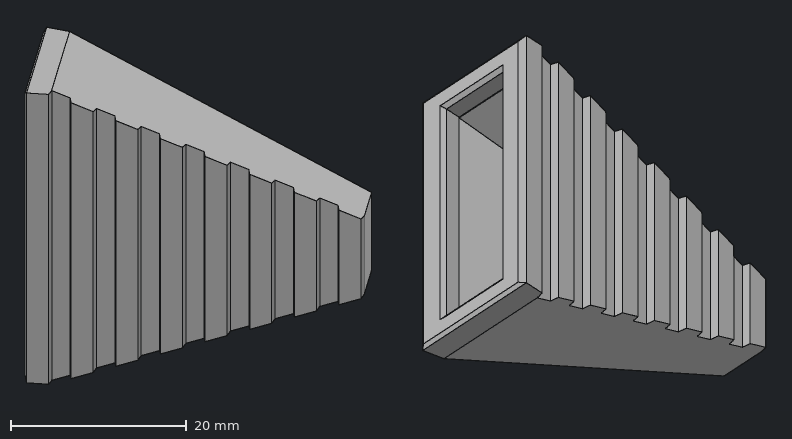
import cadquery as cq

TILT = 22.5

LENGTH = 38.68
HEIGHT = 37.0
END_HEIGHT = 10.0
MOUTH_DEPTH = 16.77
END_DEPTH = 7.0
TAPER_START = 2.75
RIM_BEVEL = 0.5
RIM_BEVEL_LENGTH = 0.35

TOOTH_GAPS = 7
TOOTH_PITCH = 5.13
CREST_LENGTH = 2.52
TOOTH_DEPTH = 1.0
FLANK_RUN = 0.25

WALL = 2.52
CHAMBER_FLOOR = 3.45
LIP = 0.5
MOUTH_BEVEL_LENGTH = 0.5
LIP_END = 2.2

FRONT = -RIM_BEVEL_LENGTH
CHAMBER_START = LIP_END + LIP
CHAMBER_END = LENGTH - WALL
BACK_SLOPE = (MOUTH_DEPTH - END_DEPTH) / LENGTH
SIDE_SLOPE = (HEIGHT - END_HEIGHT) / 2 / (LENGTH - TAPER_START)


def back_wall(x):
    """Outer y of the sloping plain side."""
    return MOUTH_DEPTH - BACK_SLOPE * x


def half_height(x):
    """Outer half height, constant up to the start of the taper."""
    return HEIGHT / 2 - SIDE_SLOPE * max(0, x - TAPER_START)


def toothed_profile():
    """Outline in XY: teeth at the bottom, sloping plain side at the top."""
    points = [(FRONT, TOOTH_DEPTH), (0, 0)]
    for gap in range(TOOTH_GAPS):
        crest_end = gap * TOOTH_PITCH + CREST_LENGTH
        next_crest = (gap + 1) * TOOTH_PITCH
        points += [
            (crest_end, 0),
            (crest_end + FLANK_RUN, TOOTH_DEPTH),
            (next_crest - FLANK_RUN, TOOTH_DEPTH),
            (next_crest, 0),
        ]
    points += [
        (LENGTH - FLANK_RUN, 0),
        (LENGTH, TOOTH_DEPTH),
        (LENGTH, END_DEPTH),
        (0, MOUTH_DEPTH),
        (FRONT, MOUTH_DEPTH - RIM_BEVEL),
    ]
    return cq.Workplane("XY").polyline(points).close().extrude(HEIGHT / 2, both=True)


def side_taper():
    """Outline in XZ: bevelled rim, straight collar and symmetric taper."""
    upper = [
        (FRONT, HEIGHT / 2 - RIM_BEVEL),
        (0, HEIGHT / 2),
        (TAPER_START, HEIGHT / 2),
        (LENGTH, END_HEIGHT / 2),
    ]
    lower = [(x, -z) for x, z in reversed(upper)]
    return cq.Workplane("XZ").polyline(upper + lower).close().extrude(MOUTH_DEPTH, both=True)


def section(x, inset):
    """Rectangular wire of the hollow at x, drawn in from the chamber size by inset."""
    wall_x = max(x, CHAMBER_START)
    floor = CHAMBER_FLOOR + inset
    roof = back_wall(wall_x) - WALL - inset
    half = half_height(wall_x) - WALL - inset
    corners = [(floor, -half), (roof, -half), (roof, half), (floor, half)]
    return cq.Wire.makePolygon([cq.Vector(x, y, z) for y, z in corners], close=True)


def hollow():
    """Bevelled mouth, straight lip, flare behind it and tapering chamber."""
    stations = [
        (FRONT, 0),
        (FRONT + MOUTH_BEVEL_LENGTH, LIP),
        (LIP_END, LIP),
        (CHAMBER_START, 0),
        (CHAMBER_END, 0),
    ]
    sections = [section(x, inset) for x, inset in stations]
    return cq.Workplane("XY").add(cq.Solid.makeLoft(sections, True))


wedge = toothed_profile().intersect(side_taper()).cut(hollow())
result = wedge.rotate((0, 0, 0), (0, 0, 1), TILT)